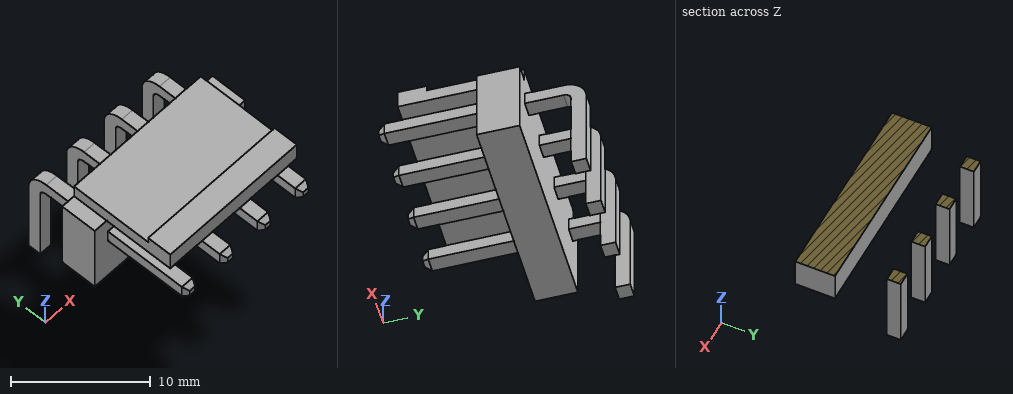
import cadquery as cq

body_width = 15.78
body_depth = 3.19
body_height = 6.79

shelf_width = 13.29
shelf_depth = 9.39
shelf_thickness = 1.18
lip_depth = 2.16
lip_height = 0.5

pin_count = 4
pin_pitch = 3.96
pin_size = 1.14
pin_axis_height = 4.78
pin_rear_reach = 4.56
pin_drop = 3.63
pin_length = 15.46
bend_inner_radius = 0.57
bend_outer_radius = bend_inner_radius + pin_size
tip_length = 0.5
tip_size = 0.57


def make_body():
    return cq.Workplane("XY").box(
        body_width, body_depth, body_height, centered=(True, False, False)
    ).translate((0, -body_depth, 0))


def make_shelf():
    bottom = body_height
    top = bottom + shelf_thickness
    lip_back = -shelf_depth + lip_depth
    return (
        cq.Workplane("YZ", origin=(-shelf_width / 2, 0, 0))
        .moveTo(0, bottom)
        .lineTo(-shelf_depth, bottom)
        .lineTo(-shelf_depth, top + lip_height)
        .lineTo(lip_back, top + lip_height)
        .lineTo(lip_back, top)
        .lineTo(0, top)
        .close()
        .extrude(shelf_width)
    )


def make_pin():
    """Bent square pin centred on X = 0, with a tapered front tip."""
    front = pin_rear_reach - pin_length
    shank_front = front + tip_length
    top = pin_axis_height + pin_size / 2
    bottom = top - pin_size
    bend_start = pin_rear_reach - bend_outer_radius
    bend_end = top - bend_outer_radius
    bent_bar = (
        cq.Workplane("YZ", origin=(-pin_size / 2, 0, 0))
        .moveTo(shank_front, top)
        .lineTo(bend_start, top)
        .radiusArc((pin_rear_reach, bend_end), bend_outer_radius)
        .lineTo(pin_rear_reach, -pin_drop)
        .lineTo(pin_rear_reach - pin_size, -pin_drop)
        .lineTo(pin_rear_reach - pin_size, bend_end)
        .radiusArc((bend_start, bottom), -bend_inner_radius)
        .lineTo(shank_front, bottom)
        .close()
        .extrude(pin_size)
    )
    tip = (
        cq.Workplane("XZ", origin=(0, shank_front, pin_axis_height))
        .rect(pin_size, pin_size)
        .workplane(offset=tip_length)
        .rect(tip_size, tip_size)
        .loft(ruled=True)
    )
    return bent_bar.union(tip)


result = make_body().union(make_shelf())
pin = make_pin()
for index in range(pin_count):
    pin_x = (index - (pin_count - 1) / 2) * pin_pitch
    result = result.union(pin.translate((pin_x, 0, 0)))